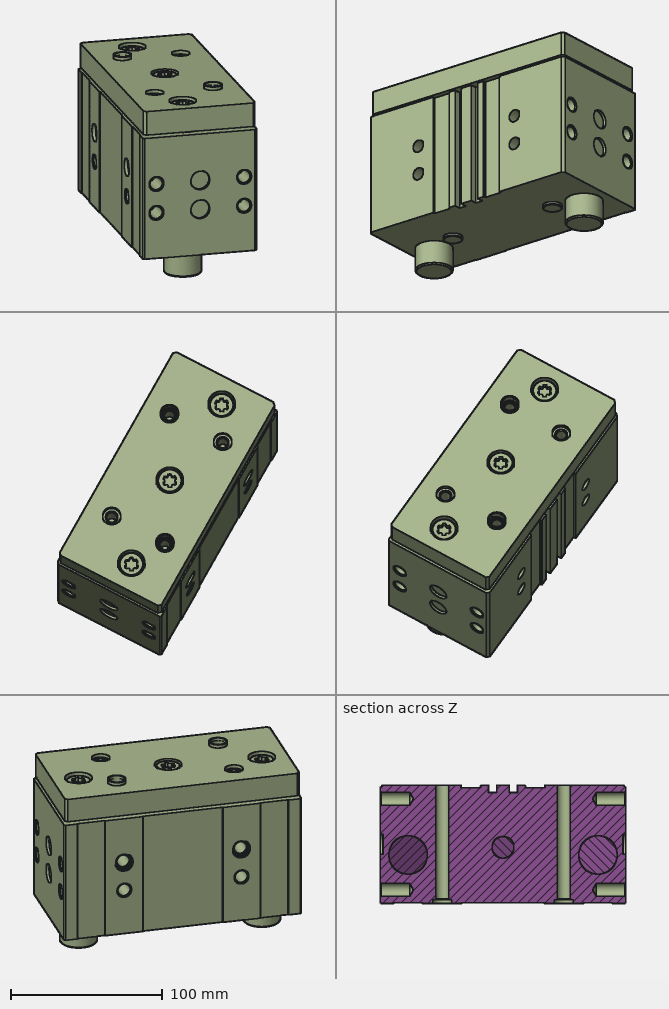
import cadquery as cq
import math


housing_length = 162
housing_depth = 78.1
housing_height = 83.3
front_corner = 1.0
back_corner = 1.8

front_flat_depth = 0.5
centre_flat_width = 54.9
side_flat_width = 19.3
side_flat_x = 62.5

back_groove_outer_x = 27.5
back_groove_inner_x = 14.9
back_groove_depth = 1.6
back_edge_chamfer = 0.6
sensor_slot_outer_x = 9.4
sensor_slot_inner_x = 4.2
sensor_slot_depth = 4.9

upper_row_z = 51.4
row_pitch = 20.0
row_heights = [upper_row_z, upper_row_z - row_pitch]
mount_x = 40.0
thread_bore = 8.5
thread_chamfer = 0.8
side_hole_y = 30.0
side_hole_depth = 19.5
drill_point_angle = 118
side_recess_diameter = 12.8
side_recess_depth = 2.0

plate_length = 160.0
plate_depth = 76.1
plate_thickness = 16.2
plate_gap = 2.0
plate_corner = 1.8
plate_bottom_z = housing_height + plate_gap
plate_top_z = plate_bottom_z + plate_thickness
plate_hole_y = 20.0
plate_bore = 6.6
plate_bore_chamfer = 0.8

seat_diameter = 12.0
seat_depth = 2.5
sleeve_bore = 10.4
sleeve_projection = 2.3
sleeve_places = [(-mount_x, -plate_hole_y), (mount_x, plate_hole_y)]

guide_diameter = 25.0
guide_x = 62.5
guide_y = -7.0
guide_projection = 16.7
guide_chamfer = 1.0
piston_rod_diameter = 14.0
piston_rod_y = -2.0
piston_rod_engagement = 64.8
guide_places = [(-guide_x, guide_y), (guide_x, guide_y)]

screw_seat_diameter = 18.0
screw_seat_depth = 11.3
head_diameter = 16.0
head_chamfer = 0.5
guide_head_drop = 1.8
piston_head_drop = 0.8
star_diameter = 9.0
star_flute_radius = 1.3
star_flute_circle = 4.7
star_flutes = 6
star_depth = 2.9

plug_diameter = 12.8
plug_x = 41.5
plug_projection = 2.1
plug_insertion = 8.1
plug_chamfer = 0.5


def cylinder(diameter, height, place):
    """Upright cylinder whose lower face is centred on place."""
    return cq.Workplane("XY", origin=place).circle(diameter / 2).extrude(height)


def upright_block(x_start, x_end, y_start, y_end):
    """Block as tall as the housing."""
    return (
        cq.Workplane("XY")
        .rect(x_end - x_start, y_end - y_start)
        .extrude(housing_height)
        .translate(((x_start + x_end) / 2, (y_start + y_end) / 2, 0))
    )


def revolved_bore(diameter, depth, chamfer, point_depth=0.0):
    """Cutter along -Z from the origin, with a chamfered mouth and an optional drill point."""
    radius = diameter / 2
    profile = (
        cq.Workplane("XZ")
        .lineTo(radius + chamfer, 0)
        .lineTo(radius, -chamfer)
        .lineTo(radius, -depth)
        .lineTo(0, -depth - point_depth)
        .close()
    )
    return profile.revolve(360, (0, 0, 0), (0, 1, 0))


def make_housing_block():
    block = cq.Workplane("XY").rect(housing_length, housing_depth).extrude(housing_height)
    block = block.edges("|Z and <Y").chamfer(front_corner)
    return block.edges("|Z and >Y").chamfer(back_corner)


def cut_front_flats(body):
    """Shallow flats with walls that slope at 45 degrees."""
    front_y = -housing_depth / 2
    flats = [(0, centre_flat_width), (-side_flat_x, side_flat_width), (side_flat_x, side_flat_width)]
    for middle, width in flats:
        mouth_half = width / 2
        floor_half = mouth_half - front_flat_depth
        floor_y = front_y + front_flat_depth
        outline = [
            (middle - mouth_half, front_y),
            (middle + mouth_half, front_y),
            (middle + floor_half, floor_y),
            (middle - floor_half, floor_y),
        ]
        body = body.cut(cq.Workplane("XY").polyline(outline).close().extrude(housing_height))
    return body


def cut_back_grooves(body):
    back_y = housing_depth / 2
    grooves = [
        (back_groove_inner_x, back_groove_outer_x, back_groove_depth),
        (sensor_slot_inner_x, sensor_slot_outer_x, sensor_slot_depth),
    ]
    for inner_x, outer_x, depth in grooves:
        groove = upright_block(inner_x, outer_x, back_y - depth, back_y)
        body = body.cut(groove).cut(groove.mirror("YZ"))
    for x in (-back_groove_inner_x, back_groove_inner_x):
        groove_edge = cq.selectors.NearestToPointSelector((x, back_y, housing_height / 2))
        body = body.edges(groove_edge).chamfer(back_edge_chamfer)
    return body


def cut_front_holes(body):
    through_hole = revolved_bore(thread_bore, housing_depth, thread_chamfer)
    seated_hole = through_hole.translate((0, 0, -seat_depth)).union(
        cylinder(seat_diameter, seat_depth, (0, 0, -seat_depth))
    )
    for z, hole in zip(row_heights, (seated_hole, through_hole)):
        facing_front = hole.rotate((0, 0, 0), (1, 0, 0), 90)
        for x in (-mount_x, mount_x):
            body = body.cut(facing_front.translate((x, -housing_depth / 2, z)))
    return body


def cut_side_holes(body):
    """Drilled holes and round recesses, alike on both ends."""
    point_depth = thread_bore / 2 / math.tan(math.radians(drill_point_angle / 2))
    hole = revolved_bore(thread_bore, side_hole_depth, thread_chamfer, point_depth)
    recess = cylinder(side_recess_diameter, side_recess_depth, (0, 0, -side_recess_depth))
    for end_x, turn in ((-housing_length / 2, -90), (housing_length / 2, 90)):
        for y, cutter in ((-side_hole_y, hole), (0, recess), (side_hole_y, hole)):
            turned = cutter.rotate((0, 0, 0), (0, 1, 0), turn)
            for z in row_heights:
                body = body.cut(turned.translate((end_x, y, z)))
    return body


def cut_rod_and_plug_holes(body):
    for x, y in guide_places:
        body = body.cut(cylinder(guide_diameter, housing_height, (x, y, 0)))
    for x in (-plug_x, plug_x):
        body = body.cut(cylinder(plug_diameter, plug_insertion, (x, 0, 0)))
    piston_end_z = housing_height - piston_rod_engagement
    return body.cut(
        cylinder(piston_rod_diameter, piston_rod_engagement, (0, piston_rod_y, piston_end_z))
    )


def make_housing():
    body = make_housing_block()
    body = cut_front_flats(body)
    body = cut_back_grooves(body)
    body = cut_front_holes(body)
    body = cut_side_holes(body)
    return cut_rod_and_plug_holes(body)


def make_screw_head(x, y, drop):
    """Screw head standing on its seat floor, with a six-lobed socket."""
    height = screw_seat_depth - drop
    head = cylinder(head_diameter, height, (0, 0, 0)).faces(">Z").edges().chamfer(head_chamfer)
    socket = cylinder(star_diameter, star_depth, (0, 0, height - star_depth))
    flutes = (
        cq.Workplane("XY", origin=(0, 0, height - star_depth))
        .polarArray(star_flute_circle, 0, 360, star_flutes)
        .circle(star_flute_radius)
        .extrude(star_depth)
    )
    return head.cut(socket.cut(flutes)).translate((x, y, plate_top_z - screw_seat_depth))


def make_plate():
    """Moving plate with the piston rod and the screw heads."""
    body = (
        cq.Workplane("XY", origin=(0, 0, plate_bottom_z))
        .rect(plate_length, plate_depth)
        .extrude(plate_thickness)
        .edges("|Z")
        .chamfer(plate_corner)
    )
    bore = revolved_bore(plate_bore, plate_thickness, plate_bore_chamfer)
    for x in (-mount_x, mount_x):
        for y in (-plate_hole_y, plate_hole_y):
            seat_floor = (x, y, plate_top_z - seat_depth)
            body = body.cut(cylinder(seat_diameter, seat_depth, seat_floor)).cut(bore.translate(seat_floor))
    screws = [(x, y, guide_head_drop) for x, y in guide_places] + [(0, piston_rod_y, piston_head_drop)]
    for x, y, drop in screws:
        seat_floor = (x, y, plate_top_z - screw_seat_depth)
        body = body.cut(cylinder(screw_seat_diameter, screw_seat_depth, seat_floor))
        body = body.union(make_screw_head(x, y, drop))
    rod_length = piston_rod_engagement + plate_gap
    rod_end = (0, piston_rod_y, plate_bottom_z - rod_length)
    return body.union(cylinder(piston_rod_diameter, rod_length, rod_end))


def make_guide_rod(x, y):
    rod = cylinder(guide_diameter, plate_bottom_z + guide_projection, (x, y, -guide_projection))
    return rod.faces("<Z").edges().chamfer(guide_chamfer)


def make_sleeve(x, y):
    height = seat_depth + sleeve_projection
    sleeve = cylinder(seat_diameter, height, (x, y, plate_top_z - seat_depth))
    return sleeve.faces(">Z").workplane().hole(sleeve_bore)


def make_plug(x):
    plug = cylinder(plug_diameter, plug_insertion + plug_projection, (x, 0, -plug_projection))
    return plug.faces("<Z").edges().chamfer(plug_chamfer)


housing = make_housing()
plate = make_plate()
guide_rods = [make_guide_rod(x, y).val() for x, y in guide_places]
sleeves = [make_sleeve(x, y).val() for x, y in sleeve_places]
plugs = [make_plug(x).val() for x in (-plug_x, plug_x)]

result = cq.Compound.makeCompound([housing.val(), plate.val(), *guide_rods, *sleeves, *plugs])